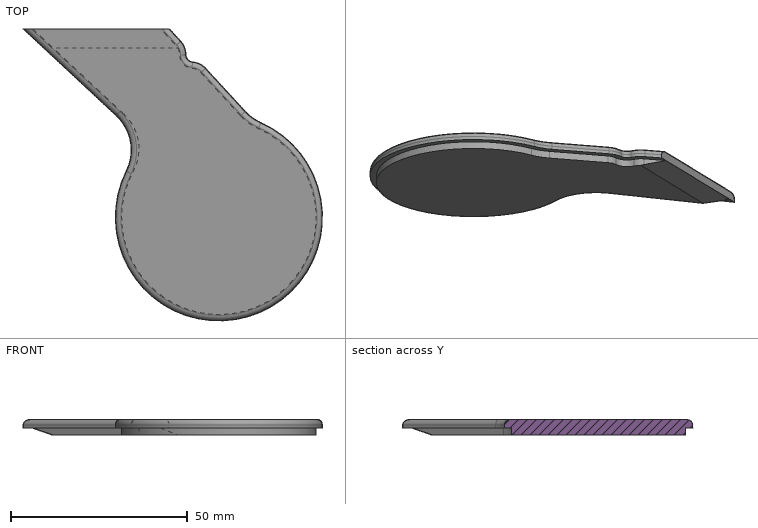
import cadquery as cq
import math

disc_radius = 29.2
length_x = 84.5
length_y = 82.5

total_height = 4.5
plate_height = 2.45
edge_radius = 1.5
body_inset = 1.8
body_height = total_height - plate_height

end_y = length_y - disc_radius
left_tip = (disc_radius - length_x, end_y)
right_tip = (-14.0, end_y)
left_slope = math.radians(-43.0)
right_slope = math.radians(-47.4)
neck_radius = 13.35
bevel_length = 5.4

notch_distance = 10.0
notch_radius = 2.0
notch_blend_radius = 5.7


def shifted(point, direction, distance):
    """Move a point by a distance along a direction angle."""
    return (
        point[0] + distance * math.cos(direction),
        point[1] + distance * math.sin(direction),
    )


def between(start, end, ratio):
    """Point at the given fraction of the way from start to end."""
    return tuple(a + (b - a) * ratio for a, b in zip(start, end))


def arc_middle(center, start, end, radius):
    """Middle point of the short arc from start to end."""
    chord_middle = between(start, end, 0.5)
    return between(center, chord_middle, radius / math.dist(center, chord_middle))


def neck_center(tip, slope, outward, disc):
    """Centre of the arc outside the arm that touches its side and the disc."""
    guide = shifted(tip, outward, neck_radius)
    along = guide[0] * math.cos(slope) + guide[1] * math.sin(slope)
    foot = shifted(guide, slope, -along)
    reach = math.sqrt((disc + neck_radius) ** 2 - math.hypot(*foot) ** 2)
    return shifted(foot, slope, -reach)


def outline(inset):
    """Closed outline moved inwards by inset, except along the flat end."""
    left_outward = left_slope - math.pi / 2
    right_outward = right_slope + math.pi / 2
    disc = disc_radius - inset
    notch = notch_radius + inset
    blend = notch_blend_radius - inset

    left_corner = (left_tip[0] + inset / abs(math.sin(left_slope)), end_y)
    right_corner = (right_tip[0] - inset / abs(math.sin(right_slope)), end_y)
    left_neck = neck_center(left_corner, left_slope, left_outward, disc)
    right_neck = neck_center(right_corner, right_slope, right_outward, disc)
    left_side_end = shifted(left_neck, left_outward, -neck_radius)
    right_side_end = shifted(right_neck, right_outward, -neck_radius)
    disc_share = disc / (disc + neck_radius)
    left_join = between((0, 0), left_neck, disc_share)
    right_join = between((0, 0), right_neck, disc_share)

    notch_center = shifted(right_tip, right_slope, notch_distance)
    half_width = math.sqrt((notch_radius + notch_blend_radius) ** 2 - notch_blend_radius**2)
    blend_centers = []
    blend_starts = []
    notch_ends = []
    for side in (-1, 1):
        on_side = shifted(notch_center, right_slope, side * half_width)
        center = shifted(on_side, right_outward, -notch_blend_radius)
        blend_centers.append(center)
        blend_starts.append(shifted(center, right_outward, blend))
        notch_ends.append(between(notch_center, center, notch / (notch + blend)))

    return (
        cq.Workplane("XY")
        .moveTo(*left_corner)
        .lineTo(*right_corner)
        .lineTo(*blend_starts[0])
        .threePointArc(arc_middle(blend_centers[0], blend_starts[0], notch_ends[0], blend), notch_ends[0])
        .threePointArc(arc_middle(notch_center, *notch_ends, notch), notch_ends[1])
        .threePointArc(arc_middle(blend_centers[1], notch_ends[1], blend_starts[1], blend), blend_starts[1])
        .lineTo(*right_side_end)
        .threePointArc(arc_middle(right_neck, right_side_end, right_join, neck_radius), right_join)
        .threePointArc((0, -disc), left_join)
        .threePointArc(arc_middle(left_neck, left_join, left_side_end, neck_radius), left_side_end)
        .close()
    )


def cover_plate():
    """Upper plate, rounded along its top edge except at the flat end."""
    plate = outline(0).extrude(plate_height)
    plate = plate.faces(">Z").edges("not(>Y)").fillet(edge_radius)
    return plate.translate((0, 0, body_height))


def lower_body():
    """Inset body whose underside slopes up to the flat end."""
    bevel = (
        cq.Workplane("YZ")
        .moveTo(end_y - bevel_length, 0)
        .lineTo(end_y, 0)
        .lineTo(end_y, body_height)
        .close()
        .extrude(length_x, both=True)
    )
    return outline(body_inset).extrude(body_height).cut(bevel)


result = cover_plate().union(lower_body())